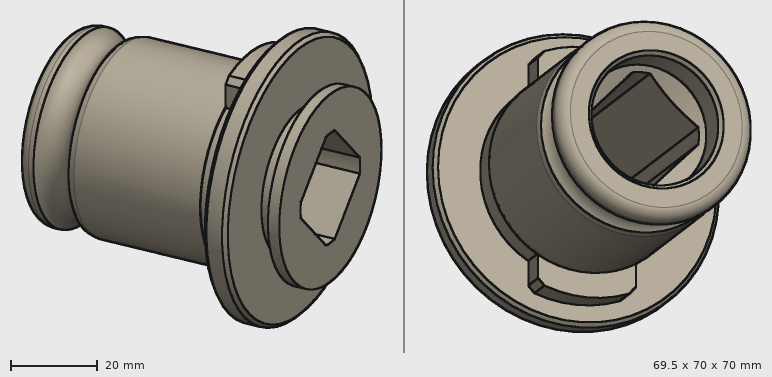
import cadquery as cq
import math

LIP_ROUND = 3.0
GROOVE_START = 4.35
GROOVE_END = 13.4
SLEEVE_START = 15.05
SLEEVE_END = 48.5
FLANGE_START = 55.45
FLANGE_END = 61.5
DISC_START = 66.5
LENGTH = 69.5

SLEEVE_RADIUS = 48.0 / 2
GROOVE_RADIUS = 20.9
GROOVE_EDGE_RADIUS = 23.5
COLLAR_RADIUS = 23.7
FLANGE_RADIUS = 70 / 2
FLANGE_CHAMFER = 1.0
NECK_RADIUS = 36.5 / 2

LUG_RADIUS = 29.95
LUG_WIDTH = 23.95
LUG_CHAMFER_RUN = 1.55
LUG_CHAMFER_DROP = 1.7

BORE_RADIUS = 31.0 / 2
BORE_CHAMFER = 1.0
BORE_DEPTH = 9.4
BORE_CONE_ANGLE = 30
SQUARE_SIDE = 22.5
SQUARE_CORNER_DIAMETER = 28


def revolve_about_x(profile):
    return profile.close().revolve(360, (0, 0, 0), (1, 0, 0))


def outer_body():
    round_mid = LIP_ROUND * (1 - math.sqrt(0.5))
    profile = (
        cq.Workplane("XY")
        .lineTo(0, SLEEVE_RADIUS - LIP_ROUND)
        .threePointArc((round_mid, SLEEVE_RADIUS - round_mid), (LIP_ROUND, SLEEVE_RADIUS))
        .lineTo(GROOVE_START, SLEEVE_RADIUS)
        .threePointArc(
            ((GROOVE_START + GROOVE_END) / 2, GROOVE_RADIUS), (GROOVE_END, GROOVE_EDGE_RADIUS)
        )
        .lineTo(SLEEVE_START, SLEEVE_RADIUS)
        .lineTo(SLEEVE_END, SLEEVE_RADIUS)
        .lineTo(SLEEVE_END, COLLAR_RADIUS)
        .lineTo(FLANGE_START, COLLAR_RADIUS)
        .lineTo(FLANGE_START, FLANGE_RADIUS - FLANGE_CHAMFER)
        .lineTo(FLANGE_START + FLANGE_CHAMFER, FLANGE_RADIUS)
        .lineTo(FLANGE_END - FLANGE_CHAMFER, FLANGE_RADIUS)
        .lineTo(FLANGE_END, FLANGE_RADIUS - FLANGE_CHAMFER)
        .lineTo(FLANGE_END, NECK_RADIUS)
        .lineTo(DISC_START, NECK_RADIUS)
        .lineTo(DISC_START, SLEEVE_RADIUS)
        .lineTo(LENGTH, SLEEVE_RADIUS)
        .lineTo(LENGTH, 0)
    )
    return revolve_about_x(profile)


def lugs():
    """Two opposite lugs, one bar across the collar with rounded ends and cut corners."""
    side = LUG_WIDTH / 2
    arc_end = side - LUG_CHAMFER_RUN
    arc_height = math.sqrt(LUG_RADIUS**2 - arc_end**2)
    side_height = arc_height - LUG_CHAMFER_DROP
    return (
        cq.Workplane("YZ", origin=(SLEEVE_END, 0, 0))
        .moveTo(side, -side_height)
        .lineTo(side, side_height)
        .lineTo(arc_end, arc_height)
        .threePointArc((0, LUG_RADIUS), (-arc_end, arc_height))
        .lineTo(-side, side_height)
        .lineTo(-side, -side_height)
        .lineTo(-arc_end, -arc_height)
        .threePointArc((0, -LUG_RADIUS), (arc_end, -arc_height))
        .close()
        .extrude(FLANGE_START - SLEEVE_END)
    )


def bore():
    """Chamfered round bore with a conical floor."""
    cone_height = BORE_RADIUS * math.tan(math.radians(BORE_CONE_ANGLE))
    profile = (
        cq.Workplane("XY")
        .lineTo(0, BORE_RADIUS + BORE_CHAMFER)
        .lineTo(BORE_CHAMFER, BORE_RADIUS)
        .lineTo(BORE_DEPTH, BORE_RADIUS)
        .lineTo(BORE_DEPTH + cone_height, 0)
    )
    return revolve_about_x(profile)


def square_drive():
    """Square through hole standing on a corner, its corners trimmed by a cylinder."""
    square = (
        cq.Workplane("YZ")
        .transformed(rotate=(0, 0, 45))
        .rect(SQUARE_SIDE, SQUARE_SIDE)
        .extrude(LENGTH)
    )
    corner_limit = cq.Workplane("YZ").circle(SQUARE_CORNER_DIAMETER / 2).extrude(LENGTH)
    return square.intersect(corner_limit)


result = outer_body().union(lugs()).cut(bore()).cut(square_drive())
result = result.translate((-LENGTH / 2, 0, 0))